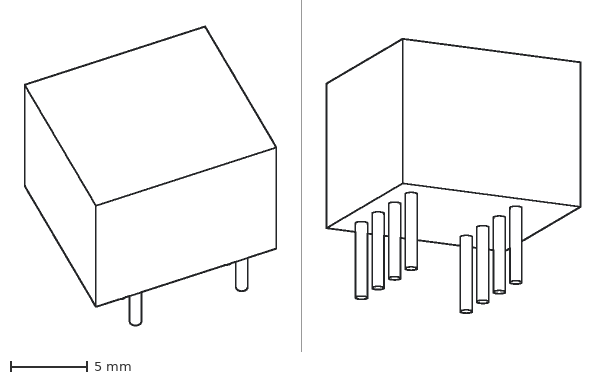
import cadquery as cq

housing_length_x = 11.73
housing_width_y = 12.95
total_height = 15.0
pin_length = 5.1
housing_height = total_height - pin_length

pin_diameter = 0.8
pins_per_row = 4
pin_pitch = 2.54
row_spacing = 7.62
back_row_inset = 1.59

back_row_y = housing_width_y / 2 - back_row_inset
front_row_y = back_row_y - row_spacing
first_pin_x = -pin_pitch * (pins_per_row - 1) / 2


def make_housing():
    """Plain block with its underside at Z = 0."""
    return cq.Workplane("XY").box(
        housing_length_x, housing_width_y, housing_height, centered=(True, True, False)
    )


def make_pin(x, y):
    """Round pin whose top end touches the underside of the housing."""
    return cq.Workplane("XY").center(x, y).circle(pin_diameter / 2).extrude(-pin_length)


housing = make_housing()

pins = []
for row_y in (front_row_y, back_row_y):
    for index in range(pins_per_row):
        pins.append(make_pin(first_pin_x + index * pin_pitch, row_y))

result = cq.Compound.makeCompound([housing.val(), *[pin.val() for pin in pins]])